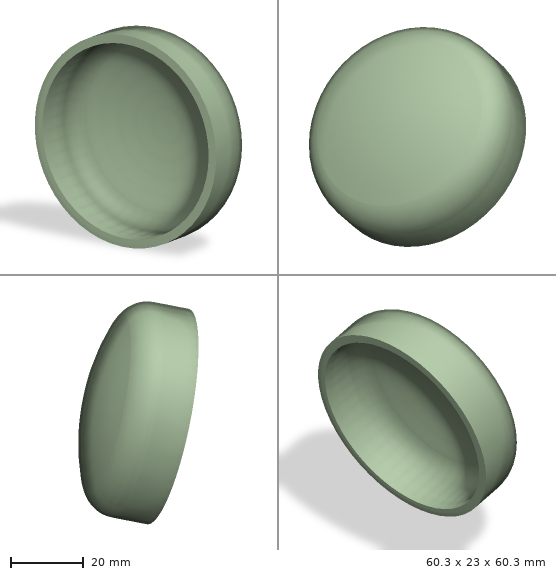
import cadquery as cq
import math

outer_diameter = 60.3
inner_diameter = 55.3
skirt_height = 10.0
dome_height = 12.95
knuckle_radius = 8.5

outer_radius = outer_diameter / 2
wall = (outer_diameter - inner_diameter) / 2

knuckle_offset = outer_radius - knuckle_radius
crown_radius = (
    (dome_height**2 + knuckle_offset**2 - knuckle_radius**2)
    / (2 * (dome_height - knuckle_radius))
)
crown_center_y = skirt_height + dome_height - crown_radius

tangent_angle = math.asin(knuckle_offset / (crown_radius - knuckle_radius))


def arc_point(center_x, center_y, radius, angle):
    """Point on a profile arc, with the angle measured from the Y axis."""
    return (center_x + radius * math.sin(angle), center_y + radius * math.cos(angle))


def dished_solid(inset):
    """Solid of revolution whose surface lies inset inside the outer surface."""
    skirt_radius = outer_radius - inset
    knuckle = knuckle_radius - inset
    crown = crown_radius - inset

    knuckle_middle = arc_point(knuckle_offset, skirt_height, knuckle, (tangent_angle + math.pi / 2) / 2)
    knuckle_end = arc_point(knuckle_offset, skirt_height, knuckle, tangent_angle)
    crown_middle = arc_point(0, crown_center_y, crown, tangent_angle / 2)
    crown_top = (0, crown_center_y + crown)

    profile = (
        cq.Workplane("XY")
        .lineTo(skirt_radius, 0)
        .lineTo(skirt_radius, skirt_height)
        .threePointArc(knuckle_middle, knuckle_end)
        .threePointArc(crown_middle, crown_top)
        .close()
    )
    return profile.revolve(360, (0, 0, 0), (0, 1, 0))


result = dished_solid(0).cut(dished_solid(wall))